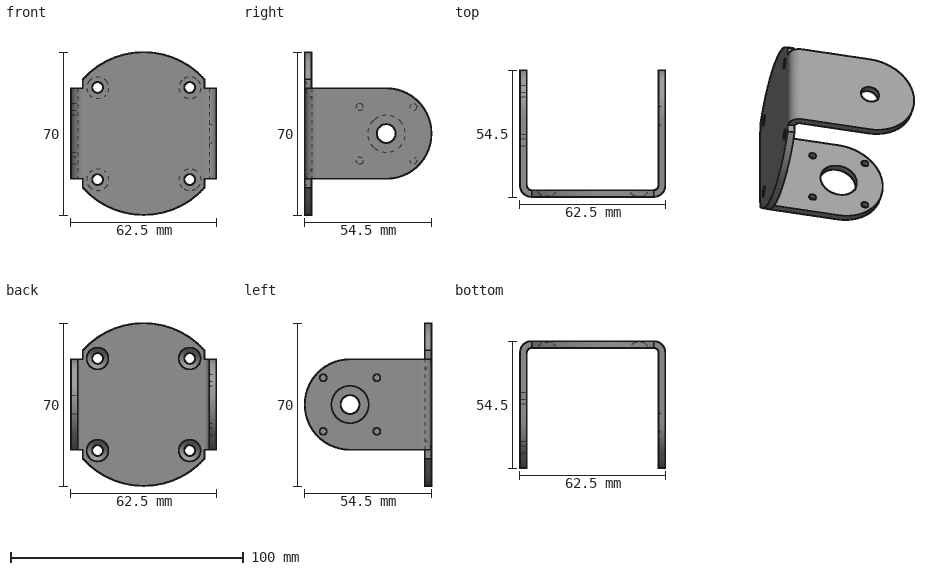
import cadquery as cq

width = 62.45
depth = 54.5
plate_diameter = 70.0
thickness = 3.0
plate_width = 52.35
bend_radius = 5.0
arm_height = 39.0
plate_hole_spacing = 39.55
plate_hole_diameter = 4.55
countersink_diameter = 9.4
countersink_angle = 90
left_bore_diameter = 16.0
right_bore_diameter = 8.0
screw_spacing = 23.0
screw_hole_diameter = 3.0

inner_bend_radius = bend_radius - thickness
arm_end_radius = arm_height / 2
arm_center_y = depth - arm_end_radius
arm_middle_x = (width - thickness) / 2


def cross_arm_cylinders(side, diameter, centers):
    """Cylinders along X through one arm; side is -1 (left) or 1 (right)."""
    length = 2 * thickness
    return (
        cq.Workplane("YZ", origin=(side * arm_middle_x - length / 2, arm_center_y, 0))
        .pushPoints(centers)
        .circle(diameter / 2)
        .extrude(length)
    )


def square_corners(spacing):
    """Corners of a centered square with the given side."""
    half = spacing / 2
    return [(u, v) for u in (-half, half) for v in (-half, half)]


channel = (
    cq.Workplane("XY")
    .box(width, depth, arm_height, centered=(True, False, True))
    .edges("|Z and <Y")
    .fillet(bend_radius)
)
channel_opening = (
    cq.Workplane("XY", origin=(0, thickness, 0))
    .box(width - 2 * thickness, depth, arm_height, centered=(True, False, True))
    .edges("|Z and <Y")
    .fillet(inner_bend_radius)
)
channel = channel.cut(channel_opening)

arm_outline = (
    cq.Workplane("YZ", origin=(-width / 2, 0, 0))
    .moveTo(0, -arm_end_radius)
    .lineTo(arm_center_y, -arm_end_radius)
    .threePointArc((depth, 0), (arm_center_y, arm_end_radius))
    .lineTo(0, arm_end_radius)
    .close()
    .extrude(width)
)
channel = channel.intersect(arm_outline)

plate = (
    cq.Workplane("XZ")
    .circle(plate_diameter / 2)
    .extrude(-thickness)
    .intersect(cq.Workplane("XY").box(plate_width, depth, plate_diameter))
)

inner_face = cq.Workplane("XZ", origin=(0, thickness, 0)).transformed(rotate=(180, 0, 0))
bracket = (
    channel.union(plate)
    .copyWorkplane(inner_face)
    .pushPoints(square_corners(plate_hole_spacing))
    .cskHole(plate_hole_diameter, countersink_diameter, countersink_angle, thickness)
)

result = (
    bracket
    .cut(cross_arm_cylinders(-1, left_bore_diameter, [(0, 0)]))
    .cut(cross_arm_cylinders(-1, screw_hole_diameter, square_corners(screw_spacing)))
    .cut(cross_arm_cylinders(1, right_bore_diameter, [(0, 0)]))
)